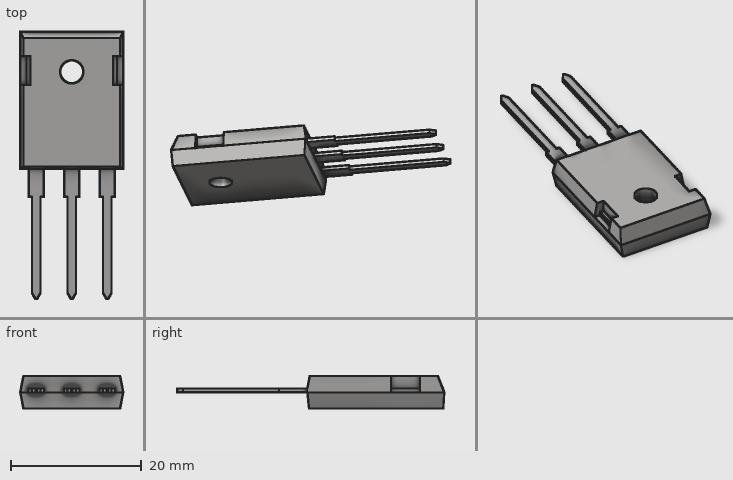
import cadquery as cq

PACKAGE_WIDTH = 15.8
PACKAGE_LENGTH = 21.0
PACKAGE_HEIGHT = 5.0
PARTING_HEIGHT = 2.5
SIDE_INSET = 0.49
LEAD_END_TOP_INSET = 0.37
LEAD_END_BOTTOM_INSET = 0.26
TAB_END_TOP_INSET = 0.99
TAB_END_BOTTOM_INSET = 0.15

HOLE_DIAMETER = 3.5
HOLE_TO_TAB_END = 6.15

NOTCH_LENGTH = 4.4
NOTCH_TO_TAB_END = 3.75
NOTCH_DEPTH = 1.6
NOTCH_LEDGE_WIDTH = 0.65

LEAD_COUNT = 3
LEAD_PITCH = 5.44
LEAD_THICKNESS = 0.6
LEAD_LENGTH = 19.92
LEAD_WIDTH = 1.35
SHOULDER_WIDTH = 2.35
SHOULDER_LENGTH = 4.3
TIP_WIDTH = 0.25
TIP_LENGTH = 0.9

LEAD_TOP = PARTING_HEIGHT + LEAD_THICKNESS
HALF_WIDTH = PACKAGE_WIDTH / 2


def package_block():
    """Drafted package: the side outline intersected with the end outline."""
    side_outline = [
        (LEAD_END_BOTTOM_INSET, 0),
        (0, PARTING_HEIGHT),
        (0, LEAD_TOP),
        (LEAD_END_TOP_INSET, PACKAGE_HEIGHT),
        (PACKAGE_LENGTH - TAB_END_TOP_INSET, PACKAGE_HEIGHT),
        (PACKAGE_LENGTH, PARTING_HEIGHT),
        (PACKAGE_LENGTH - TAB_END_BOTTOM_INSET, 0),
    ]
    drafted_half_width = HALF_WIDTH - SIDE_INSET
    end_outline = [
        (-drafted_half_width, 0),
        (drafted_half_width, 0),
        (HALF_WIDTH, PARTING_HEIGHT),
        (drafted_half_width, PACKAGE_HEIGHT),
        (-drafted_half_width, PACKAGE_HEIGHT),
        (-HALF_WIDTH, PARTING_HEIGHT),
    ]
    lengthwise = cq.Workplane("YZ").polyline(side_outline).close().extrude(HALF_WIDTH, both=True)
    crosswise = cq.Workplane("XZ").polyline(end_outline).close().extrude(-PACKAGE_LENGTH)
    return lengthwise.intersect(crosswise)


def mounting_hole():
    return (
        cq.Workplane("XY")
        .center(0, PACKAGE_LENGTH - HOLE_TO_TAB_END)
        .circle(HOLE_DIAMETER / 2)
        .extrude(PACKAGE_HEIGHT)
    )


def side_notch(side):
    """Cutter for one notch, open to the side and the top; side is -1 or 1."""
    wall = side * (HALF_WIDTH - NOTCH_DEPTH)
    ledge_edge = side * (HALF_WIDTH - NOTCH_DEPTH + NOTCH_LEDGE_WIDTH)
    outside = side * HALF_WIDTH
    outline = [
        (wall, PACKAGE_HEIGHT),
        (wall, LEAD_TOP),
        (ledge_edge, LEAD_TOP),
        (ledge_edge, PARTING_HEIGHT),
        (outside, PARTING_HEIGHT),
        (outside, PACKAGE_HEIGHT),
    ]
    notch_start = PACKAGE_LENGTH - NOTCH_TO_TAB_END - NOTCH_LENGTH
    return (
        cq.Workplane("XZ", origin=(0, notch_start, 0))
        .polyline(outline)
        .close()
        .extrude(-NOTCH_LENGTH)
    )


def package_layer(bottom, top):
    """The part of the drilled package between two heights."""
    layer = (
        cq.Workplane("XY", origin=(0, 0, bottom))
        .rect(PACKAGE_WIDTH, 2 * PACKAGE_LENGTH)
        .extrude(top - bottom)
    )
    return package_block().cut(mounting_hole()).intersect(layer)


def lower_moulding():
    return package_layer(0, PARTING_HEIGHT)


def upper_moulding():
    upper = package_layer(PARTING_HEIGHT, PACKAGE_HEIGHT)
    for side in (-1, 1):
        upper = upper.cut(side_notch(side))
    return upper


def lead(x_centre):
    """Flat lead with a wide shoulder at the package and a pointed tip."""
    right_edge = [
        (SHOULDER_WIDTH / 2, 0),
        (SHOULDER_WIDTH / 2, -SHOULDER_LENGTH),
        (LEAD_WIDTH / 2, -SHOULDER_LENGTH),
        (LEAD_WIDTH / 2, TIP_LENGTH - LEAD_LENGTH),
        (TIP_WIDTH / 2, -LEAD_LENGTH),
    ]
    left_edge = [(-x, y) for x, y in reversed(right_edge)]
    return (
        cq.Workplane("XY", origin=(x_centre, 0, PARTING_HEIGHT))
        .polyline(right_edge + left_edge)
        .close()
        .extrude(LEAD_THICKNESS)
    )


lower = lower_moulding()
upper = upper_moulding()
leads = [lead((i - (LEAD_COUNT - 1) / 2) * LEAD_PITCH) for i in range(LEAD_COUNT)]

result = cq.Compound.makeCompound(
    [lower.val(), upper.val(), *[each_lead.val() for each_lead in leads]]
)